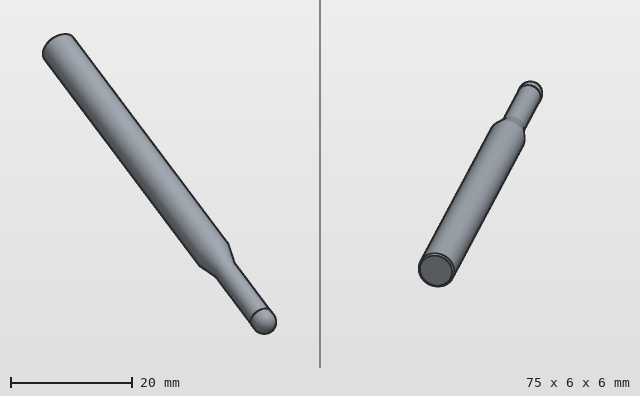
import cadquery as cq

total_length = 75.0
shank_diameter = 6.0
shank_length = 55.0
shank_chamfer = 0.3
cone_length = 4.05
tip_diameter = 4.0
neck_diameter = 3.9
cutting_length = 3.1

shank_radius = shank_diameter / 2
tip_radius = tip_diameter / 2
neck_radius = neck_diameter / 2
start = -total_length / 2
end = start + total_length
shank_end = start + shank_length
cone_end = shank_end + cone_length
band_start = end - cutting_length
ball_center = end - tip_radius
arc_offset = tip_radius / 2**0.5

result = (
    cq.Workplane("XY")
    .moveTo(start, 0)
    .lineTo(start, shank_radius - shank_chamfer)
    .lineTo(start + shank_chamfer, shank_radius)
    .lineTo(shank_end, shank_radius)
    .lineTo(cone_end, neck_radius)
    .lineTo(band_start, neck_radius)
    .lineTo(band_start, tip_radius)
    .lineTo(ball_center, tip_radius)
    .threePointArc((ball_center + arc_offset, arc_offset), (end, 0))
    .close()
    .revolve(360, (0, 0, 0), (1, 0, 0))
)